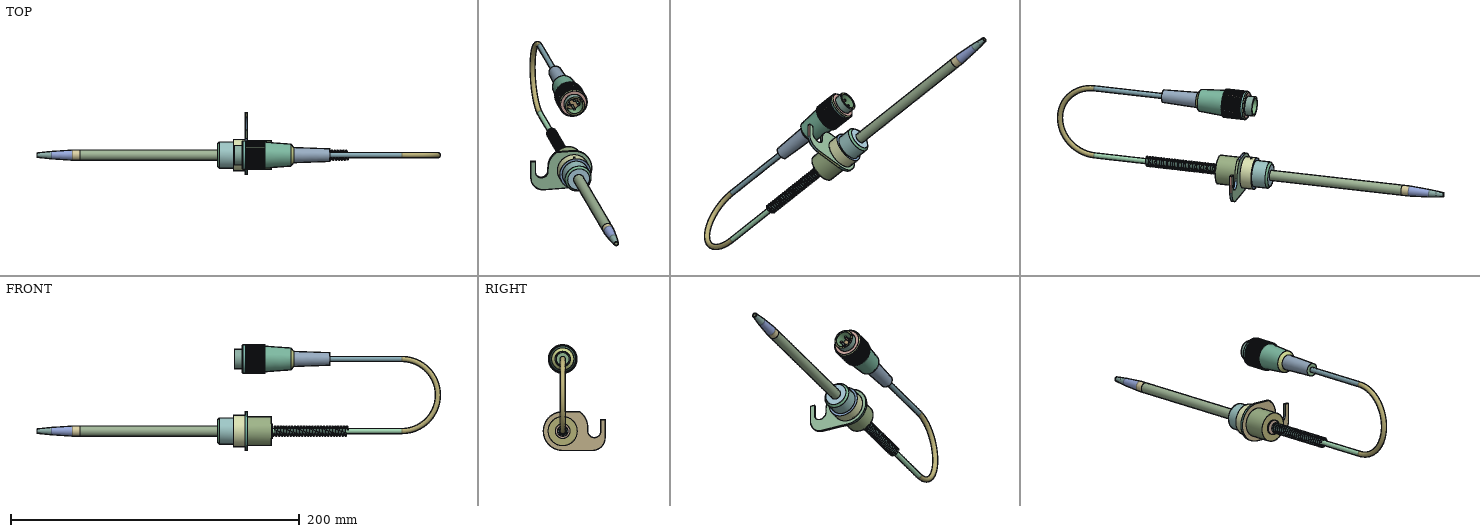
import cadquery as cq
import math

TIP_CONE_END = 10.0
TAPER_END = 24.5
TIP_REAR = 29.8
HANDLE_FRONT = 125.0
HANDLE_SHOULDER = 136.2
BRACKET_FRONT = 144.2
HANDLE_REAR = 162.4
BUSH_REAR = 163.4
SPRING_END = 215.8
PLUG_FACE = 136.9
RING_FRONT = 142.0
KNURL_FRONT = 144.5
RING_REAR = 158.1
BOOT_STEP = 176.0
BOOT_NECK = 178.0
BOOT_REAR = 203.0

TIP_DIAMETER = 3.24
SHEATH_DIAMETER = 7.2
TIP_CONE_DIAMETER = 5.3
TIP_HOLE_DIAMETER = 2.46
TIP_HOLE_DEPTH = 5.0

NOSE_DIAMETER = 18.5
NOSE_CHAMFER = 1.5
COLLAR_DIAMETER = 22.0
GRIP_DIAMETER = 20.2
VENT_DIAMETER = 1.0
VENT_X = 139.2
VENT_DEPTH = 2.0
BUSH_DIAMETER = 10.2

BRACKET_THICKNESS = 1.7
BRACKET_RADIUS = 13.5
HOOK_REACH = 29.5
HOOK_TIP_HEIGHT = 7.9
HOOK_CORNER_RADIUS = 9.0
HOOK_SLOT_DIAMETER = 8.92
HOOK_SLOT_Y = 21.9
BRACKET_TOP_EDGE_END = 11.7
SHOULDER_ARC_END_Z = 1.9

SPRING_DIAMETER = 7.2
SPRING_WIRE = 1.0
SPRING_PITCH = 2.0

CABLE_DIAMETER = 3.7
BEND_RADIUS = 25.0
BEND_START = 252.88
PLUG_HEIGHT = 2 * BEND_RADIUS

SOCKET_DIAMETER = 13.6
SOCKET_BORE = 11.2
SOCKET_DEPTH = 9.0
PIN_DIAMETER = 1.5
PIN_CIRCLE_DIAMETER = 6.3
PIN_COUNT = 4
PIN_LENGTH = 6.5
RING_DIAMETER = 19.9
RING_CHAMFER = 0.8
KNURL_COUNT = 60
KNURL_DEPTH = 0.6
BOOT_FRONT_DIAMETER = 18.0
BOOT_STEP_DIAMETER = 15.4
BOOT_NECK_DIAMETER = 10.7
BOOT_REAR_DIAMETER = 8.92


def revolve_profile(points, height=0.0):
    """Turn (x, radius) points, closed along the axis, about the X-parallel axis at this height."""
    profile = cq.Workplane("XY").polyline(points).close()
    return profile.revolve(360, (0, 0, 0), (1, 0, 0)).translate((0, 0, height))


def cross_section(x, y=0.0, z=0.0):
    """Workplane across the X axis whose local axes are the part's Y and Z."""
    return cq.Workplane(cq.Plane((x, y, z), (0, 1, 0), (1, 0, 0)))


def cylinder(x_start, x_end, diameter, y=0.0, z=0.0):
    return cross_section(x_start, y, z).circle(diameter / 2).extrude(x_end - x_start)


def make_tip():
    """Hollow-nosed tip: two cones of different slope and a short parallel band."""
    tip = revolve_profile([
        (0, 0),
        (0, TIP_DIAMETER / 2),
        (TIP_CONE_END, TIP_CONE_DIAMETER / 2),
        (TAPER_END, SHEATH_DIAMETER / 2),
        (TIP_REAR, SHEATH_DIAMETER / 2),
        (TIP_REAR, 0),
    ])
    return tip.cut(cylinder(0, TIP_HOLE_DEPTH, TIP_HOLE_DIAMETER))


def make_sheath():
    return cylinder(TIP_REAR, HANDLE_FRONT, SHEATH_DIAMETER)


def make_handle():
    """Stepped handle with a small vent in the top of its collar."""
    nose = cylinder(HANDLE_FRONT, HANDLE_SHOULDER, NOSE_DIAMETER).faces("<X").chamfer(NOSE_CHAMFER)
    collar = cylinder(HANDLE_SHOULDER, BRACKET_FRONT, COLLAR_DIAMETER)
    grip = cylinder(BRACKET_FRONT, HANDLE_REAR, GRIP_DIAMETER)
    bush = cylinder(HANDLE_REAR, BUSH_REAR, BUSH_DIAMETER)
    vent_floor = COLLAR_DIAMETER / 2 - VENT_DEPTH
    vent_start = cq.Workplane("XY", origin=(VENT_X, 0, vent_floor))
    vent = vent_start.circle(VENT_DIAMETER / 2).extrude(VENT_DEPTH)
    return nose.union(collar).union(grip).union(bush).cut(vent)


def make_bracket():
    """Flat hook plate seated on the grip, against the collar."""
    slot_radius = HOOK_SLOT_DIAMETER / 2
    slot_inner_y = HOOK_SLOT_Y - slot_radius
    slot_outer_y = HOOK_SLOT_Y + slot_radius
    corner_y = HOOK_REACH - HOOK_CORNER_RADIUS
    corner_z = HOOK_CORNER_RADIUS - BRACKET_RADIUS
    outline = (
        cross_section(BRACKET_FRONT)
        .moveTo(0, -BRACKET_RADIUS)
        .threePointArc((-BRACKET_RADIUS, 0), (0, BRACKET_RADIUS))
        .lineTo(BRACKET_TOP_EDGE_END, BRACKET_RADIUS)
        .radiusArc((slot_inner_y, SHOULDER_ARC_END_Z), BRACKET_RADIUS)
        .lineTo(slot_inner_y, 0)
        .threePointArc((HOOK_SLOT_Y, -slot_radius), (slot_outer_y, 0))
        .lineTo(slot_outer_y, HOOK_TIP_HEIGHT)
        .lineTo(HOOK_REACH, HOOK_TIP_HEIGHT)
        .lineTo(HOOK_REACH, corner_z)
        .radiusArc((corner_y, -BRACKET_RADIUS), HOOK_CORNER_RADIUS)
        .close()
    )
    plate = outline.extrude(BRACKET_THICKNESS)
    return plate.cut(cylinder(BRACKET_FRONT, BRACKET_FRONT + BRACKET_THICKNESS, GRIP_DIAMETER))


def make_spring():
    """Strain-relief coil, standing on the bush around the cable."""
    coil_radius = (SPRING_DIAMETER - SPRING_WIRE) / 2
    length = SPRING_END - BUSH_REAR - SPRING_WIRE
    start_x = BUSH_REAR + SPRING_WIRE / 2
    path = cq.Wire.makeHelix(SPRING_PITCH, length, coil_radius)
    section = cq.Workplane("XZ", origin=(coil_radius, 0, 0)).circle(SPRING_WIRE / 2)
    coil = section.sweep(cq.Workplane(path), isFrenet=True)
    return coil.rotate((0, 0, 0), (0, 1, 0), 90).translate((start_x, 0, 0))


def make_cable():
    """Cable from the bush, around a half-circle loop, back to the boot."""
    path = (
        cq.Workplane("XZ")
        .moveTo(BUSH_REAR, 0)
        .lineTo(BEND_START, 0)
        .threePointArc((BEND_START + BEND_RADIUS, BEND_RADIUS), (BEND_START, PLUG_HEIGHT))
        .lineTo(BOOT_REAR, PLUG_HEIGHT)
    )
    return cross_section(BUSH_REAR).circle(CABLE_DIAMETER / 2).sweep(path)


def make_socket():
    """Plug core: a deep round socket with pins on its floor."""
    floor_x = PLUG_FACE + SOCKET_DEPTH
    socket = cylinder(PLUG_FACE, RING_REAR, SOCKET_DIAMETER, z=PLUG_HEIGHT)
    socket = socket.cut(cylinder(PLUG_FACE, floor_x, SOCKET_BORE, z=PLUG_HEIGHT))
    for index in range(PIN_COUNT):
        angle = 2 * math.pi * index / PIN_COUNT
        y = PIN_CIRCLE_DIAMETER / 2 * math.cos(angle)
        z = PLUG_HEIGHT + PIN_CIRCLE_DIAMETER / 2 * math.sin(angle)
        socket = socket.union(cylinder(floor_x - PIN_LENGTH, floor_x, PIN_DIAMETER, y, z))
    return socket


def make_coupling_ring():
    """Ring around the plug core: plain chamfered front, straight knurl behind."""
    collar = cylinder(RING_FRONT, KNURL_FRONT, RING_DIAMETER).faces("<X").chamfer(RING_CHAMFER)
    crest = RING_DIAMETER / 2
    root = crest - KNURL_DEPTH
    half_step = math.pi / KNURL_COUNT
    teeth = []
    for index in range(2 * KNURL_COUNT):
        radius = root if index % 2 else crest
        angle = index * half_step
        teeth.append((radius * math.cos(angle), radius * math.sin(angle)))
    knurl = cross_section(KNURL_FRONT).polyline(teeth).close().extrude(RING_REAR - KNURL_FRONT)
    ring = collar.union(knurl).cut(cylinder(RING_FRONT, RING_REAR, SOCKET_DIAMETER))
    return ring.translate((0, 0, PLUG_HEIGHT))


def make_boot():
    """Two cones joined by a short bevel."""
    return revolve_profile([
        (RING_REAR, 0),
        (RING_REAR, BOOT_FRONT_DIAMETER / 2),
        (BOOT_STEP, BOOT_STEP_DIAMETER / 2),
        (BOOT_NECK, BOOT_NECK_DIAMETER / 2),
        (BOOT_REAR, BOOT_REAR_DIAMETER / 2),
        (BOOT_REAR, 0),
    ], PLUG_HEIGHT)


tip = make_tip()
sheath = make_sheath()
handle = make_handle()
bracket = make_bracket()
spring = make_spring()
cable = make_cable()
socket = make_socket()
coupling_ring = make_coupling_ring()
boot = make_boot()

bodies = [tip, sheath, handle, bracket, spring, cable, socket, coupling_ring, boot]
result = cq.Compound.makeCompound([body.val() for body in bodies])